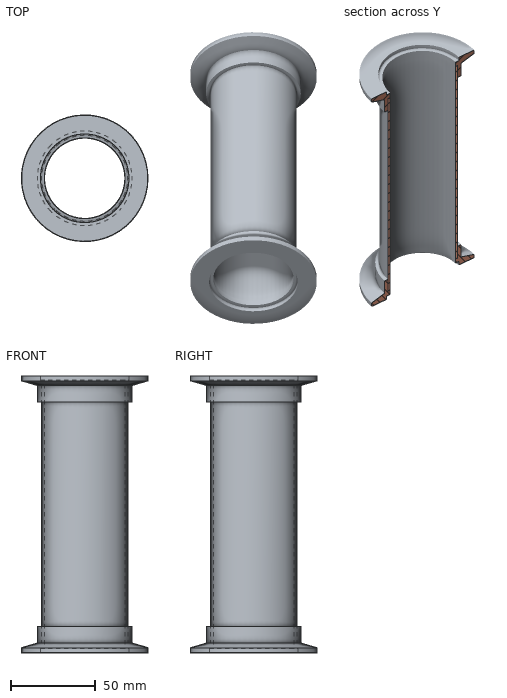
import cadquery as cq

total_length = 163.8
flange_diameter = 74.9

rim_thickness = 3.0
neck_start = 5.7
flange_length = 15.5
neck_diameter = 56.0

recess_diameter = 52.5
recess_depth = 2.6
lip_thickness = 3.3
seat_depth = recess_depth + lip_thickness

tube_outer_diameter = 51.0
tube_inner_diameter = 47.5
tube_length = total_length - 2 * seat_depth


def make_tube():
    """Plain tube standing on Z, its ends butting against the two flange lips."""
    return (
        cq.Workplane("XY")
        .workplane(offset=seat_depth)
        .circle(tube_outer_diameter / 2)
        .circle(tube_inner_diameter / 2)
        .extrude(tube_length)
    )


def make_flange():
    """Clamp flange with its sealing face on Z = 0 and its neck pointing up."""
    rim_radius = flange_diameter / 2
    neck_radius = neck_diameter / 2
    recess_radius = recess_diameter / 2
    seat_radius = tube_outer_diameter / 2
    bore_radius = tube_inner_diameter / 2
    return (
        cq.Workplane("XZ")
        .moveTo(recess_radius, 0)
        .lineTo(rim_radius, 0)
        .lineTo(rim_radius, rim_thickness)
        .lineTo(neck_radius, neck_start)
        .lineTo(neck_radius, flange_length)
        .lineTo(seat_radius, flange_length)
        .lineTo(seat_radius, seat_depth)
        .lineTo(bore_radius, seat_depth)
        .lineTo(bore_radius, recess_depth)
        .lineTo(recess_radius, recess_depth)
        .close()
        .revolve(360, (0, 0, 0), (0, 1, 0))
    )


tube = make_tube()
bottom_flange = make_flange()
top_flange = make_flange().rotate((0, 0, total_length / 2), (1, 0, total_length / 2), 180)

result = cq.Compound.makeCompound([tube.val(), bottom_flange.val(), top_flange.val()])